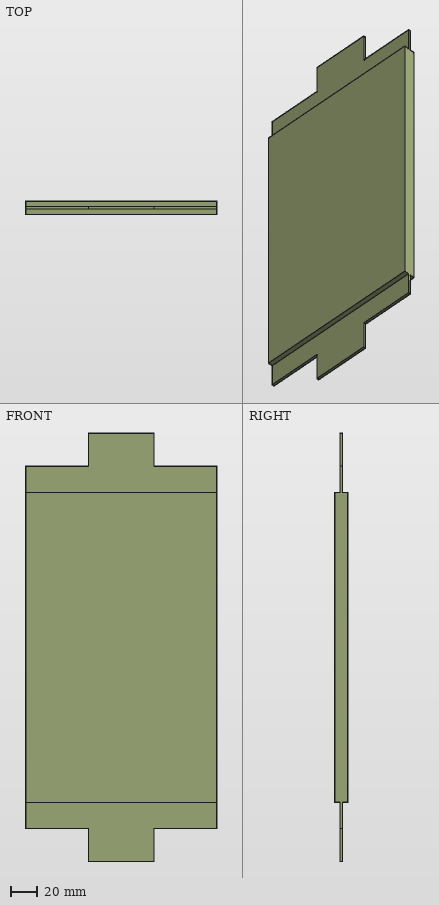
import cadquery as cq

width = 145.0
height = 325.0
body_thickness = 10.0

sheet_thickness = 2.0
tab_width = 50.0
tab_length = 25.0
flange_length = 19.8

sheet_height = height - 2 * tab_length
body_height = sheet_height - 2 * flange_length


def centred_plate(size_x, size_y, size_z):
    """Rectangular plate centred on the origin."""
    return cq.Workplane("XY").box(size_x, size_y, size_z)


body = centred_plate(width, body_thickness, body_height)
flanges = centred_plate(width, sheet_thickness, sheet_height)
tabs = centred_plate(tab_width, sheet_thickness, height)

result = body.union(flanges).union(tabs)